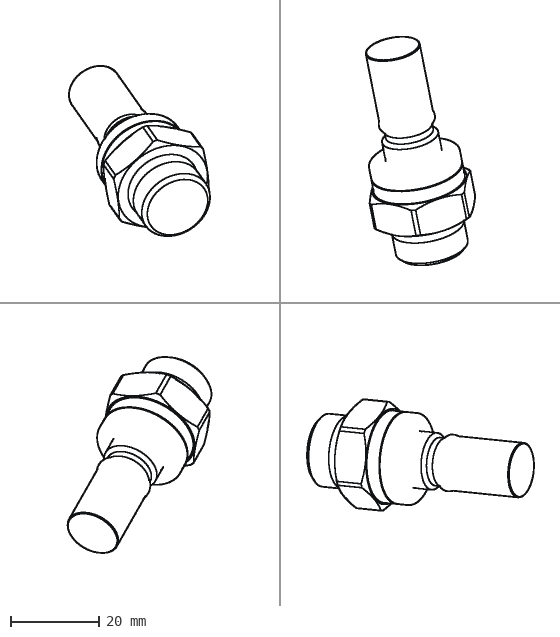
import cadquery as cq
import math

total_length = 51.15

stem_radius = 12.5 / 2
stem_edge_chamfer = 0.2
ring_radius = 12.95 / 2
ring_ramp_start_x = 17.05
ring_ramp_end_x = 17.95
ring_round_start_x = 18.4
ring_round_radius = 0.5
ring_slope = math.radians(35)
groove_radius = 11.0 / 2
groove_end_x = 21.5
collar_radius = 13.0 / 2
collar_start_x = 22.35

flange_start_x = 27.45
flange_radius = 21.0 / 2
flange_edge_radius = 0.5
collar_fillet = 0.5
seam_x = 30.9
seam_width = 0.15
seam_depth = 0.1

hex_start_x = 34.1
hex_end_x = 42.15
across_flats = 22.0
corner_radius = 24.8 / 2
hex_turn = 7.0
hex_face_radius = 21.8 / 2
hex_bevel_length = (corner_radius - hex_face_radius) * math.tan(math.radians(30))

thread_radius = 16.7 / 2
thread_chamfer = 0.95
undercut_start_radius = 17.0 / 2
undercut_bottom_radius = 14.5 / 2
undercut_arc_radius = 1.0
undercut_hex_slope = math.radians(45)
undercut_thread_slope = math.radians(60)


def arc_point(center_x, center_r, radius, angle):
    """Point on a profile arc; the angle is measured from the outward radial direction."""
    return (center_x + radius * math.sin(angle), center_r + radius * math.cos(angle))


def make_stem_and_flange():
    ring_center = (ring_round_start_x, ring_radius - ring_round_radius)
    ring_round_mid = arc_point(*ring_center, ring_round_radius, ring_slope / 2)
    ring_round_end = arc_point(*ring_center, ring_round_radius, ring_slope)
    groove_start_x = ring_round_end[0] + (ring_round_end[1] - groove_radius) / math.tan(ring_slope)
    fillet_mid = arc_point(
        flange_start_x - collar_fillet, collar_radius + collar_fillet, collar_fillet, math.radians(135)
    )
    edge_mid = arc_point(
        flange_start_x + flange_edge_radius,
        flange_radius - flange_edge_radius,
        flange_edge_radius,
        math.radians(-45),
    )
    return (
        cq.Workplane("XY")
        .moveTo(0, 0)
        .lineTo(0, stem_radius - stem_edge_chamfer)
        .lineTo(stem_edge_chamfer, stem_radius)
        .lineTo(ring_ramp_start_x, stem_radius)
        .lineTo(ring_ramp_end_x, ring_radius)
        .lineTo(ring_round_start_x, ring_radius)
        .threePointArc(ring_round_mid, ring_round_end)
        .lineTo(groove_start_x, groove_radius)
        .lineTo(groove_end_x, groove_radius)
        .lineTo(collar_start_x, collar_radius)
        .lineTo(flange_start_x - collar_fillet, collar_radius)
        .threePointArc(fillet_mid, (flange_start_x, collar_radius + collar_fillet))
        .lineTo(flange_start_x, flange_radius - flange_edge_radius)
        .threePointArc(edge_mid, (flange_start_x + flange_edge_radius, flange_radius))
        .lineTo(seam_x - seam_width / 2, flange_radius)
        .lineTo(seam_x - seam_width / 2, flange_radius - seam_depth)
        .lineTo(seam_x + seam_width / 2, flange_radius - seam_depth)
        .lineTo(seam_x + seam_width / 2, flange_radius)
        .lineTo(hex_start_x, flange_radius)
        .lineTo(hex_start_x, 0)
        .close()
        .revolve(360, (0, 0, 0), (1, 0, 0))
    )


def make_hexagon():
    across_corners = across_flats / math.cos(math.radians(30))
    prism = (
        cq.Workplane("YZ", origin=(hex_start_x, 0, 0))
        .transformed(rotate=(0, 0, hex_turn + 30))
        .polygon(6, across_corners)
        .extrude(hex_end_x - hex_start_x)
    )
    turned_blank = (
        cq.Workplane("XY")
        .moveTo(hex_start_x, 0)
        .lineTo(hex_start_x, hex_face_radius)
        .lineTo(hex_start_x + hex_bevel_length, corner_radius)
        .lineTo(hex_end_x - hex_bevel_length, corner_radius)
        .lineTo(hex_end_x, hex_face_radius)
        .lineTo(hex_end_x, 0)
        .close()
        .revolve(360, (0, 0, 0), (1, 0, 0))
    )
    return prism.intersect(turned_blank)


def make_threaded_end():
    center_r = undercut_bottom_radius + undercut_arc_radius
    tangent_r = center_r - undercut_arc_radius * math.cos(undercut_hex_slope)
    cone_length = (undercut_start_radius - tangent_r) / math.tan(undercut_hex_slope)
    center_x = hex_end_x + cone_length + undercut_arc_radius * math.sin(undercut_hex_slope)
    center = (center_x, center_r)
    arc_start = arc_point(*center, undercut_arc_radius, math.pi + undercut_hex_slope)
    arc_bottom = (center_x, undercut_bottom_radius)
    arc_end = arc_point(*center, undercut_arc_radius, math.pi - undercut_thread_slope)
    thread_start_x = arc_end[0] + (thread_radius - arc_end[1]) / math.tan(undercut_thread_slope)
    return (
        cq.Workplane("XY")
        .moveTo(hex_end_x, 0)
        .lineTo(hex_end_x, undercut_start_radius)
        .lineTo(*arc_start)
        .threePointArc(arc_bottom, arc_end)
        .lineTo(thread_start_x, thread_radius)
        .lineTo(total_length - thread_chamfer, thread_radius)
        .lineTo(total_length, thread_radius - thread_chamfer)
        .lineTo(total_length, 0)
        .close()
        .revolve(360, (0, 0, 0), (1, 0, 0))
    )


result = make_stem_and_flange().union(make_hexagon()).union(make_threaded_end())